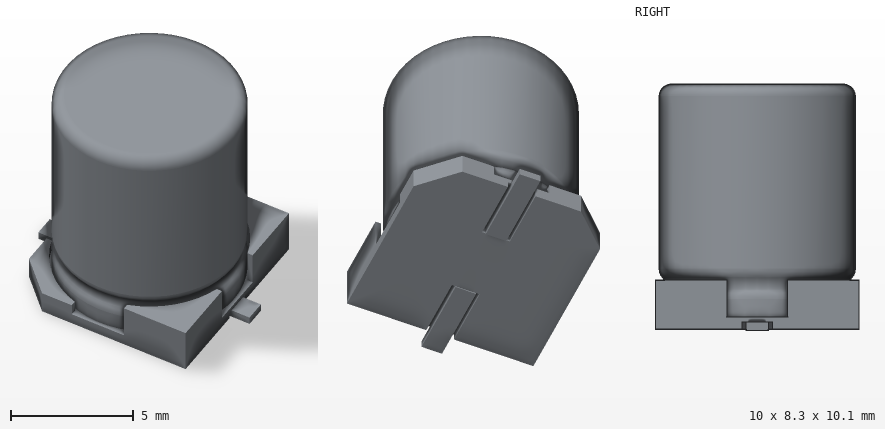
import cadquery as cq
import math

total_height = 10.05
total_length = 10.0
standoff = 0.05

base_width = 8.3
base_chamfer = 1.51
floor_thickness = 0.5
low_corner_height = 1.0
tall_corner_height = 2.01
notch_width = 2.47
bore_diameter = 8.2

can_diameter = 8.0
can_rounding = 0.5
groove_radius = 0.4
groove_depth = 0.24
groove_center_z = 1.9

lead_width = 0.91
lead_thickness = 0.35
lead_length = 3.47
slot_width = 1.24

floor_top = standoff + floor_thickness


def make_base():
    """Floor plate with four corner blocks around a round seat for the can."""
    outline = (
        cq.Workplane("XY", origin=(0, 0, standoff))
        .rect(base_width, base_width)
        .extrude(tall_corner_height)
        .edges("|Z and <X")
        .chamfer(base_chamfer)
    )
    above_floor = cq.Workplane("XY", origin=(0, 0, floor_top))
    seat = above_floor.circle(bore_diameter / 2).extrude(tall_corner_height)
    notch_x = above_floor.rect(base_width, notch_width).extrude(tall_corner_height)
    notch_y = above_floor.rect(notch_width, base_width).extrude(tall_corner_height)
    above_low_corners = (
        cq.Workplane("XY", origin=(-base_width / 4, 0, standoff + low_corner_height))
        .rect(base_width / 2, base_width)
        .extrude(tall_corner_height)
    )
    return outline.cut(seat).cut(notch_x).cut(notch_y).cut(above_low_corners)


def make_can():
    """Revolved can with a rounded top rim and a smooth groove near its foot."""
    radius = can_diameter / 2
    neck_radius = radius - groove_depth

    arc_sum = groove_radius + can_rounding
    angle = math.acos(1 - groove_depth / arc_sum)
    half_span = arc_sum * math.sin(angle)
    tangent_rise = groove_radius * math.sin(angle)
    tangent_radius = neck_radius + groove_radius * (1 - math.cos(angle))

    shoulder_mid_radius = radius - can_rounding * (1 - math.cos(angle / 2))
    shoulder_mid_rise = half_span - can_rounding * math.sin(angle / 2)

    rim_inset = can_rounding * (1 - math.sqrt(0.5))

    return (
        cq.Workplane("XZ")
        .moveTo(0, floor_top)
        .lineTo(radius, floor_top)
        .lineTo(radius, groove_center_z - half_span)
        .threePointArc(
            (shoulder_mid_radius, groove_center_z - shoulder_mid_rise),
            (tangent_radius, groove_center_z - tangent_rise),
        )
        .threePointArc(
            (neck_radius, groove_center_z),
            (tangent_radius, groove_center_z + tangent_rise),
        )
        .threePointArc(
            (shoulder_mid_radius, groove_center_z + shoulder_mid_rise),
            (radius, groove_center_z + half_span),
        )
        .lineTo(radius, total_height - can_rounding)
        .threePointArc(
            (radius - rim_inset, total_height - rim_inset),
            (radius - can_rounding, total_height),
        )
        .lineTo(0, total_height)
        .close()
        .revolve(360, (0, 0), (0, 1))
    )


def make_lead_bar(side, width):
    """Bar of lead length and thickness, flush with the part's end on the given X side."""
    center_x = side * (total_length - lead_length) / 2
    return (
        cq.Workplane("XY", origin=(center_x, 0, 0))
        .rect(lead_length, width)
        .extrude(lead_thickness)
    )


result = make_base().union(make_can())
for side in (-1, 1):
    slot = make_lead_bar(side, slot_width)
    lead = make_lead_bar(side, lead_width)
    result = result.cut(slot).union(lead)